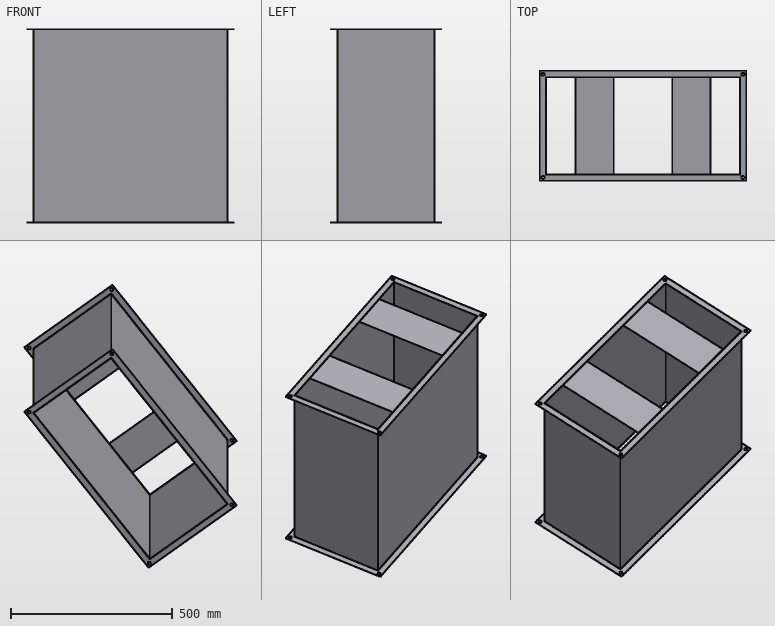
import cadquery as cq

flange_length = 642.0
flange_depth = 342.0
height = 600.0

sheet = 1.0
flange_width = 20.0
duct_length = flange_length - 2 * flange_width
duct_depth = flange_depth - 2 * flange_width
inner_length = duct_length - 2 * sheet
inner_depth = duct_depth - 2 * sheet
duct_height = height - 2 * sheet

hole_diameter = 9.0
hole_inset = 11.0
hole_spacing_x = flange_length - 2 * hole_inset
hole_spacing_y = flange_depth - 2 * hole_inset

plate_count = 2
plate_pitch = inner_length / plate_count
plate_width = 120.0


def make_duct():
    """Open rectangular tube between the two flanges."""
    return (
        cq.Workplane("XY", origin=(0, 0, sheet))
        .rect(duct_length, duct_depth)
        .rect(inner_length, inner_depth)
        .extrude(duct_height)
    )


def make_flange(bottom):
    """Flat frame on one end of the duct, with a hole in each corner."""
    frame = (
        cq.Workplane("XY", origin=(0, 0, bottom))
        .rect(flange_length, flange_depth)
        .rect(inner_length, inner_depth)
        .extrude(sheet)
    )
    holes = (
        cq.Workplane("XY", origin=(0, 0, bottom))
        .rect(hole_spacing_x, hole_spacing_y, forConstruction=True)
        .vertices()
        .circle(hole_diameter / 2)
        .extrude(sheet)
    )
    return frame.cut(holes)


def make_plate(center_x):
    """Thin plate flush with the top, spanning from front wall to back wall."""
    return (
        cq.Workplane("XY", origin=(center_x, 0, height - sheet))
        .rect(plate_width, inner_depth)
        .extrude(sheet)
    )


duct = make_duct()

flanges = []
for flange_bottom in (0, height - sheet):
    flanges.append(make_flange(flange_bottom).val())

plates = []
for index in range(plate_count):
    plate_x = (index - (plate_count - 1) / 2) * plate_pitch
    plates.append(make_plate(plate_x).val())

result = cq.Compound.makeCompound([duct.val(), *flanges, *plates])